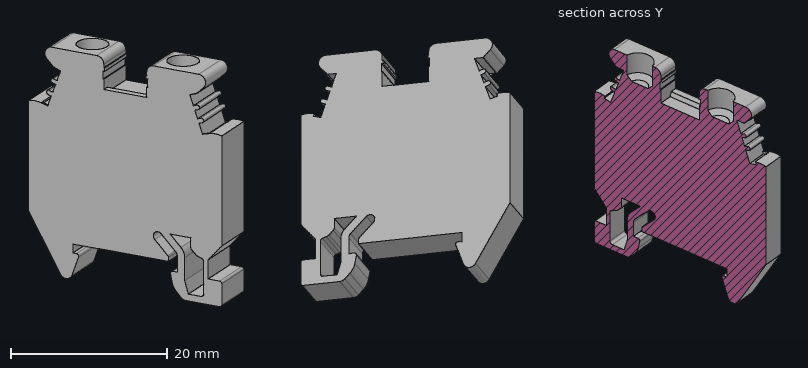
import cadquery as cq
import math

HEIGHT = 31.25
HALF_WIDTH = 28.0 / 2
THICKNESS = 6.1
BACK_Y = THICKNESS / 2

TOUCHING = 3.13e-07

TOWER_RADIUS = 1.0
TOWER_NOSE_X = 10.65
TOWER_INNER_X = 3.1
LIP_PROJECTION = 0.12
LIP_TOP_Z = 29.75
LIP_BOTTOM_Z = 29.28
LIP_GROOVE_BOTTOM_Z = 28.2
SADDLE_Z = 26.78

SLANT_ANGLE = math.radians(20)
SLANT_LENGTH = 5.38
SLANT_FOOT_X = 11.22
SLANT_FOOT_Z = 23.15
FIN_COUNT = 2
FIN_SPACING = SLANT_LENGTH / (FIN_COUNT + 1)
FIN_LENGTH = 0.8
FIN_WIDTH = 0.62
UNDERSIDE_RADIUS = 0.47
SHOULDER_Z = 23.4
SHOULDER_EDGE_X = 12.2
SHOULDER_APEX_RISE = 0.25

SKIN_THICKNESS = 0.28
RECESS_DROP = 0.38

EDGE_RADIUS = 0.3
RAIL_FACE_Z = 4.9
RAIL_FACE_END_X = 6.28
RAIL_LIP_Z = 3.7
LEFT_BEVEL_TOP_Z = 8.28
HOOK_INNER_X = -7.55
HOOK_LIP_X = -6.6
HOOK_TIP_X = -8.38
HOOK_TIP_Z = -1.25
HOOK_TIP_RADIUS = 0.95

RIGHT_BEVEL_TOP_Z = 8.38
NECK_X = 12.03
NECK_TOP_Z = 6.15
FOOT_TOP_Z = 3.53
FOOT_FLAT_X = 8.38
FOOT_TOE_RADIUS = 0.95
FOOT_CURVE_X = 6.9
FOOT_CURVE_Z = 1.5
FOOT_CURVE_RADIUS = 2.5
FOOT_LIP_X = 6.47
SPRING_SLOT_RADIUS = 0.65
SPRING_SLOT_X = 4.75
SPRING_SLOT_Z = 8.05
SPRING_INNER_X = 7.55
SPRING_WIDTH = 1.05
SPRING_BEND_RADIUS = 0.78

WINDOW_TOP_Z = 8.72
WINDOW_STEP_X = 9.5
WINDOW_STEP_Z = 7.25
WINDOW_STEP_RADIUS = 0.47
WINDOW_BULGE_X = 10.38
WINDOW_BULGE_Z = 6.4
WINDOW_BULGE_RADIUS = 0.95
WINDOW_SHELF_Z = 6.1
WINDOW_RIGHT_X = 11.38
WINDOW_FLOOR_X = 9.15
WINDOW_FLOOR_Z = 0.97
WINDOW_TAPER_Z = 2.72
WINDOW_CORNER_RADIUS = 0.4

HOLE_X = 6.55
HOLE_Y = 0.45
HOLE_DIAMETER = 4.2
HOLE_SEAT_DIAMETER = 2.8
HOLE_DEPTH = 3.75

STRIP_TOP_Y = -2.05
STRIP_FOOT_Y = -1.85
STRIP_HEIGHT = 0.65


def unit(start, end):
    """Unit vector from one (x, z) point toward another."""
    length = math.dist(start, end)
    return (end[0] - start[0]) / length, (end[1] - start[1]) / length


def rounded_wire(corners):
    """Closed XZ outline from (x, z, radius) corners; each radius becomes a tangent arc."""
    stops = []
    for i, (x, z, radius) in enumerate(corners):
        here = (x, z)
        back = unit(here, corners[i - 1][:2])
        ahead = unit(here, corners[(i + 1) % len(corners)][:2])
        if radius == 0:
            stops.append((here, None, here))
            continue
        half = math.acos(back[0] * ahead[0] + back[1] * ahead[1]) / 2
        reach = radius / math.tan(half)
        middle = unit((0, 0), (back[0] + ahead[0], back[1] + ahead[1]))
        gap = radius / math.sin(half) - radius
        start = (x + back[0] * reach, z + back[1] * reach)
        arc_middle = (x + middle[0] * gap, z + middle[1] * gap)
        end = (x + ahead[0] * reach, z + ahead[1] * reach)
        stops.append((start, arc_middle, end))
    wire = cq.Workplane("XZ", origin=(0, BACK_Y, 0)).moveTo(*stops[-1][2])
    pen = stops[-1][2]
    for start, arc_middle, end in stops:
        if math.dist(pen, start) > TOUCHING:
            wire = wire.lineTo(*start)
        if arc_middle:
            wire = wire.threePointArc(arc_middle, end)
        pen = end
    return wire.close()


def slab(corners, depth=THICKNESS):
    """Extrude a rounded outline forward from the back face."""
    return rounded_wire(corners).extrude(depth)


def slant_point(along, outward):
    """Point on the left tower's slanted side: distance up the slant, distance out from it."""
    x = -SLANT_FOOT_X + along * math.sin(SLANT_ANGLE) - outward * math.cos(SLANT_ANGLE)
    z = SLANT_FOOT_Z + along * math.cos(SLANT_ANGLE) + outward * math.sin(SLANT_ANGLE)
    return x, z


def underside_length():
    """Distance from the top of the slant to where the underside meets the 45 degree nose line."""
    nose_line_sum = HEIGHT - TOWER_NOSE_X - TOWER_RADIUS * (1 + math.sqrt(2))
    root_x, root_z = slant_point(SLANT_LENGTH, 0)
    return (root_x + root_z - nose_line_sum) / (math.cos(SLANT_ANGLE) - math.sin(SLANT_ANGLE))


def tower_side():
    """Corners of the left outline from the shoulder edge up to the edge of the saddle."""
    corners = [(*slant_point(0, 0), 0)]
    for i in range(1, FIN_COUNT + 1):
        low = i * FIN_SPACING - FIN_WIDTH / 2
        high = low + FIN_WIDTH
        corners += [
            (*slant_point(low, 0), 0),
            (*slant_point(low, FIN_LENGTH), FIN_WIDTH / 2),
            (*slant_point(high, FIN_LENGTH), FIN_WIDTH / 2),
            (*slant_point(high, 0), 0),
        ]
    nose_x = -TOWER_NOSE_X - TOWER_RADIUS
    nose_z = HEIGHT - TOWER_RADIUS * math.sqrt(2)
    lip_x = -TOWER_INNER_X + LIP_PROJECTION
    groove_x = -TOWER_INNER_X - LIP_PROJECTION
    corners += [
        (*slant_point(SLANT_LENGTH, 0), 0),
        (*slant_point(SLANT_LENGTH, underside_length()), UNDERSIDE_RADIUS),
        (nose_x, nose_z, TOWER_RADIUS),
        (nose_x, HEIGHT, TOWER_RADIUS),
        (-TOWER_INNER_X, HEIGHT, TOWER_RADIUS),
        (-TOWER_INNER_X, LIP_TOP_Z, 0),
        (lip_x, LIP_TOP_Z, 0),
        (lip_x, LIP_BOTTOM_Z, 0),
        (groove_x, LIP_BOTTOM_Z, 0),
        (groove_x, LIP_GROOVE_BOTTOM_Z, 0),
        (-TOWER_INNER_X, LIP_GROOVE_BOTTOM_Z, 0),
        (-TOWER_INNER_X, SADDLE_Z, 0),
    ]
    return corners


def upper_corners():
    """Corners from the left shoulder over both towers to the right shoulder."""
    half_span = (HALF_WIDTH - SHOULDER_EDGE_X) / 2
    crown_radius = math.hypot(half_span, SHOULDER_APEX_RISE) * half_span / SHOULDER_APEX_RISE
    left = [
        (-HALF_WIDTH, SHOULDER_Z, 0),
        (-SHOULDER_EDGE_X - half_span, SHOULDER_Z + SHOULDER_APEX_RISE, crown_radius),
        (-SHOULDER_EDGE_X, SHOULDER_Z, 0),
    ]
    left += tower_side()
    right = [(-x, z, radius) for x, z, radius in reversed(left)]
    return left + right


def spring_foot_corners():
    """Corners from the right bevel round the spring foot and slot to the rail face."""
    slot_reach = SPRING_SLOT_RADIUS * math.sqrt(2)
    slot_upper_sum = SPRING_SLOT_X + SPRING_SLOT_Z + slot_reach
    slot_lower_sum = SPRING_SLOT_X + SPRING_SLOT_Z - slot_reach
    return [
        (HALF_WIDTH, RIGHT_BEVEL_TOP_Z, 0),
        (NECK_X, NECK_TOP_Z, 0),
        (NECK_X, FOOT_TOP_Z, 0),
        (HALF_WIDTH, FOOT_TOP_Z, EDGE_RADIUS),
        (HALF_WIDTH, 0, EDGE_RADIUS),
        (FOOT_FLAT_X, 0, FOOT_TOE_RADIUS),
        (FOOT_CURVE_X, FOOT_CURVE_Z, FOOT_CURVE_RADIUS),
        (FOOT_LIP_X, RAIL_LIP_Z, EDGE_RADIUS),
        (SPRING_INNER_X, RAIL_LIP_Z, 0),
        (SPRING_INNER_X, slot_upper_sum - SPRING_INNER_X, SPRING_BEND_RADIUS),
        (SPRING_SLOT_X, SPRING_SLOT_Z + slot_reach, SPRING_SLOT_RADIUS),
        (SPRING_SLOT_X - slot_reach, SPRING_SLOT_Z, SPRING_SLOT_RADIUS),
        (RAIL_FACE_END_X, slot_lower_sum - RAIL_FACE_END_X, EDGE_RADIUS),
        (RAIL_FACE_END_X, RAIL_FACE_Z, 0),
    ]


def hook_corners():
    """Corners of the fixed hook on the left, ending at the top of its bevel."""
    return [
        (HOOK_INNER_X, RAIL_FACE_Z, 0),
        (HOOK_INNER_X, RAIL_LIP_Z, 0),
        (HOOK_LIP_X, RAIL_LIP_Z, EDGE_RADIUS),
        (HOOK_TIP_X, HOOK_TIP_Z, HOOK_TIP_RADIUS),
        (-HALF_WIDTH, LEFT_BEVEL_TOP_Z, 0),
    ]


def spring_window():
    """Opening between the spring arm and the right-hand neck."""
    arm_x = SPRING_INNER_X + SPRING_WIDTH
    arm_sum = SPRING_SLOT_X + SPRING_SLOT_Z + SPRING_SLOT_RADIUS * math.sqrt(2)
    arm_sum += SPRING_WIDTH * math.sqrt(2)
    return slab([
        (arm_sum - WINDOW_TOP_Z, WINDOW_TOP_Z, 0),
        (WINDOW_STEP_X, WINDOW_TOP_Z, 0),
        (WINDOW_STEP_X, WINDOW_STEP_Z, WINDOW_STEP_RADIUS),
        (WINDOW_BULGE_X, WINDOW_BULGE_Z, WINDOW_BULGE_RADIUS),
        (WINDOW_RIGHT_X, WINDOW_SHELF_Z, WINDOW_CORNER_RADIUS),
        (WINDOW_RIGHT_X, WINDOW_FLOOR_Z, WINDOW_CORNER_RADIUS),
        (WINDOW_FLOOR_X, WINDOW_FLOOR_Z, 0),
        (arm_x, WINDOW_TAPER_Z, 0),
        (arm_x, arm_sum - arm_x, SPRING_BEND_RADIUS + SPRING_WIDTH),
    ])


def recess_extension():
    """Extra height of the left slanted recess behind the front skin."""
    foot_x, foot_z = slant_point(0, 0)
    drop_x = RECESS_DROP * math.sin(SLANT_ANGLE)
    drop_z = RECESS_DROP * math.cos(SLANT_ANGLE)
    under_x, under_z = slant_point(SLANT_LENGTH, underside_length())
    root_x, root_z = slant_point(SLANT_LENGTH, 0)
    depth = THICKNESS - SKIN_THICKNESS
    lower = slab([
        (-SHOULDER_EDGE_X, SHOULDER_Z, 0),
        (-SHOULDER_EDGE_X - drop_x, SHOULDER_Z - drop_z, 0),
        (foot_x - drop_x, foot_z - drop_z, 0),
        (foot_x, foot_z, 0),
    ], depth)
    upper = slab([
        (under_x, under_z, 0),
        (root_x, root_z, 0),
        (root_x + (under_z - root_z) * math.tan(SLANT_ANGLE), under_z, 0),
    ], depth)
    return lower.union(upper)


def saddle_step():
    """Lower saddle floor behind the front strip, reached by a steep ramp."""
    return (
        cq.Workplane("YZ", origin=(-TOWER_INNER_X, 0, 0))
        .polyline([
            (STRIP_TOP_Y, SADDLE_Z),
            (STRIP_FOOT_Y, SADDLE_Z - STRIP_HEIGHT),
            (BACK_Y, SADDLE_Z - STRIP_HEIGHT),
            (BACK_Y, SADDLE_Z),
        ])
        .close()
        .extrude(2 * TOWER_INNER_X)
    )


def screw_hole(x):
    """Blind hole from a tower top, with a 45 degree chamfer round its flat seat."""
    seat_chamfer = (HOLE_DIAMETER - HOLE_SEAT_DIAMETER) / 2
    return (
        cq.Workplane("XY", origin=(x, HOLE_Y, HEIGHT))
        .circle(HOLE_DIAMETER / 2)
        .extrude(-HOLE_DEPTH)
        .faces("<Z")
        .chamfer(seat_chamfer)
    )


body = slab(upper_corners() + spring_foot_corners() + hook_corners())
body = body.cut(spring_window()).cut(saddle_step())
left_recess = recess_extension()
for cutter in (left_recess, left_recess.mirror("YZ"), screw_hole(-HOLE_X), screw_hole(HOLE_X)):
    body = body.cut(cutter)

result = body